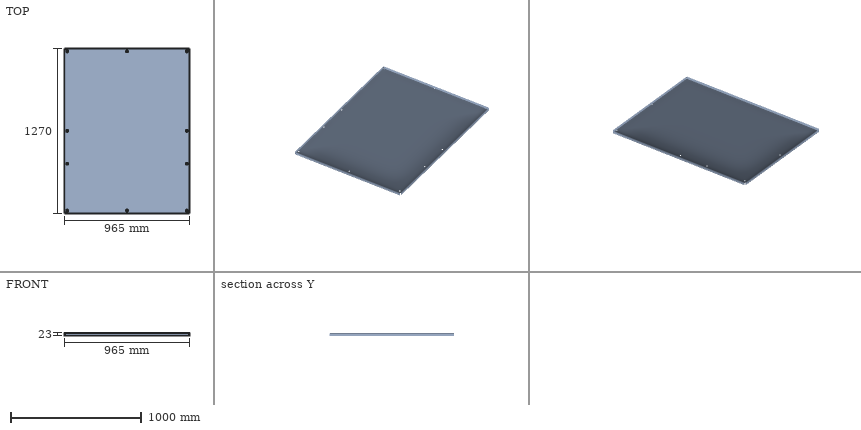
import cadquery as cq

width = 965.0
length = 1270.0
height = 23.0
sheet = 1.9
bend_radius = 4.5

notch = 6.0

hole_diameter = 14.0
hole_edge_distance = 23.0
lower_side_hole_y = -253.0

hole_x = width / 2 - hole_edge_distance
hole_y = length / 2 - hole_edge_distance


def folded_shell():
    """Open-bottomed tray with rounded bends along its top edges."""
    outer = cq.Workplane("XY").box(width, length, height).edges(">Z").fillet(bend_radius)
    return outer.faces("<Z").shell(-sheet)


def corner_notches():
    """Notches through the full height at the four corners."""
    return (
        cq.Workplane("XY")
        .rect(width - notch, length - notch, forConstruction=True)
        .vertices()
        .rect(notch, notch)
        .extrude(height, both=True)
    )


def mounting_holes():
    """Three holes along each short side, two more along each long side."""
    points = [(x, y) for x in (-hole_x, 0, hole_x) for y in (-hole_y, hole_y)]
    points += [(x, y) for x in (-hole_x, hole_x) for y in (0, lower_side_hole_y)]
    return cq.Workplane("XY").pushPoints(points).circle(hole_diameter / 2).extrude(height)


result = folded_shell().cut(corner_notches()).cut(mounting_holes())